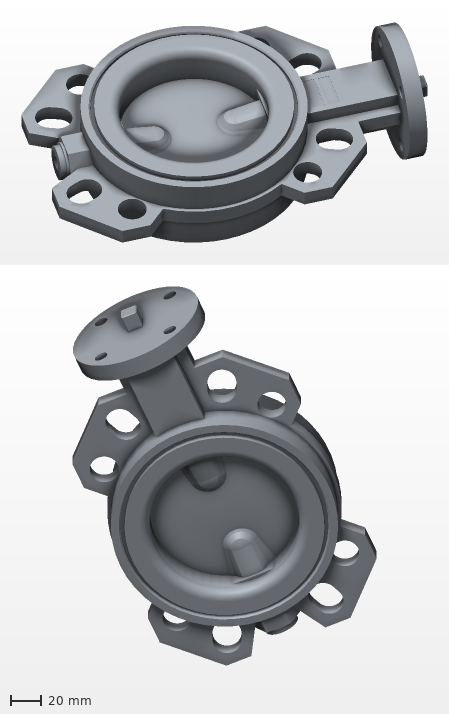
import cadquery as cq
import math


body_radius = 75.0
body_half_height = 26.0
rib_radius = 77.5
liner_radius = 66.0
liner_half_height = 26.9
groove_radius = 68.6
groove_depth = 3.2
groove_chamfer = 1.0
bore_radius = 49.42
bore_rounding = 6.4

disc_centre_half = 4.2
disc_edge_half = 2.0

pad_face_y = 47.2
pad_half_height = 15.0
pad_width = 37.0
pad_end_y = 53.0
lug_tip_y = 27.8
lug_root_y = pad_face_y + 0.8
lug_tip_section = (13.8, 10.0, 7.0, 8.5, 10.0)
lug_root_section = (17.2, 12.7, 7.5, 11.7, 13.2)
lug_side_base_height = 4.8

plate_thickness = 10.9
ear_side_x = 78.05
ear_end_y = 105.7
ear_side_top_y = 72.3
ear_side_bottom_y = 53.0
notch_half_width = 26.63
notch_angle = 60.0

bolt_hole_diameter = 19.0
bolt_circle_radius = 85.3
round_hole_angle = 45.0
slot_angle = 67.5
slot_inner_radius = 90.4
slot_outer_radius = 96.0

neck_width = 34.5
neck_height = 30.0
web_width = 49.0
flange_diameter = 90.0
flange_face_y = 147.3
flange_thickness = 12.2
flange_hole_diameter = 9.0
flange_bolt_circle = 70.0

stem_end_y = 265.0 - ear_end_y
stem_square = 11.0
stem_corner_chamfer = 1.0
stem_end_chamfer = 0.5

label_width = 25.0
label_height = 8.0
label_depth = 0.3
label_centres_y = (92.5, 82.2)

hex_across_flats = 30.0
hex_end_y = 89.3
collar_radius = 13.2
collar_end_y = 91.0
plug_radius = 11.7
plug_end_y = 95.0
plug_socket_radius = 4.65
plug_socket_depth = 4.0


def mirrored_z(solid):
    return solid.union(solid.mirror("XY"))


def y_block(width, start_y, end_y, height):
    """Box centred on the shaft axis, running from start_y to end_y."""
    return cq.Workplane("XY").box(width, end_y - start_y, height).translate((0, (start_y + end_y) / 2, 0))


def y_cylinder(radius, start_y, end_y):
    """Cylinder on the shaft axis from start_y to end_y."""
    return cq.Workplane("XZ", origin=(0, start_y, 0)).circle(radius).extrude(start_y - end_y)


def make_body():
    """Body, liner and closed disc turned as one half and mirrored."""
    rounding_mid = bore_rounding * (1 - math.sqrt(0.5))
    half = (
        cq.Workplane("XZ")
        .lineTo(0, disc_centre_half)
        .lineTo(bore_radius, disc_edge_half)
        .lineTo(bore_radius, liner_half_height - bore_rounding)
        .threePointArc(
            (bore_radius + rounding_mid, liner_half_height - rounding_mid),
            (bore_radius + bore_rounding, liner_half_height),
        )
        .lineTo(liner_radius, liner_half_height)
        .lineTo(liner_radius, body_half_height - groove_depth)
        .lineTo(groove_radius, body_half_height - groove_depth)
        .lineTo(groove_radius, body_half_height - groove_chamfer)
        .lineTo(groove_radius + groove_chamfer, body_half_height)
        .lineTo(body_radius, body_half_height)
        .lineTo(body_radius, plate_thickness / 2)
        .lineTo(rib_radius, plate_thickness / 2)
        .lineTo(rib_radius, 0)
        .close()
        .revolve(360, (0, 0, 0), (0, 1, 0))
    )
    return mirrored_z(half)


def lug_section(y, section):
    """Full cross-section of a lug: splayed foot, sloping sides and rounded crown."""
    foot, side, crown, shoulder_height, crown_height = section
    return (
        cq.Workplane("XZ", origin=(0, y, 0))
        .moveTo(-foot, 0)
        .lineTo(-foot, disc_edge_half)
        .lineTo(-side, lug_side_base_height)
        .lineTo(-crown, shoulder_height)
        .threePointArc((0, crown_height), (crown, shoulder_height))
        .lineTo(side, lug_side_base_height)
        .lineTo(foot, disc_edge_half)
        .lineTo(foot, 0)
        .close()
    )


def lug_tip_profile(section):
    """Half of the tip section, to be turned about the vertical through the lug tip."""
    foot, side, crown, shoulder_height, crown_height = section
    crown_rise = crown_height - shoulder_height
    dome_radius = (crown**2 + crown_rise**2) / (2 * crown_rise)
    half_dome_angle = math.asin(crown / dome_radius) / 2
    dome_mid = (
        dome_radius * math.sin(half_dome_angle),
        crown_height - dome_radius * (1 - math.cos(half_dome_angle)),
    )
    return (
        cq.Workplane("XZ", origin=(0, lug_tip_y, 0))
        .lineTo(foot, 0)
        .lineTo(foot, disc_edge_half)
        .lineTo(side, lug_side_base_height)
        .lineTo(crown, shoulder_height)
        .threePointArc(dome_mid, (0, crown_height))
        .close()
    )


def make_lug():
    """Upper +Y lug: tapered ridge with a rounded tip, its underside buried in the disc."""
    tip_wire = lug_section(lug_tip_y, lug_tip_section).wires().val()
    root_wire = lug_section(lug_root_y, lug_root_section).wires().val()
    ridge = cq.Workplane(cq.Solid.makeLoft([tip_wire, root_wire], True))
    tip = lug_tip_profile(lug_tip_section).revolve(360, (0, 0, 0), (0, 1, 0))
    return ridge.union(tip, clean=False)


def make_ear_plate():
    """Four 45-degree ears, with a V notch between the lower two."""
    ear_corner_x = ear_side_x + ear_side_top_y - ear_end_y
    waist_x = ear_side_x - ear_side_bottom_y
    upper_right = [
        (ear_corner_x, ear_end_y),
        (ear_side_x, ear_side_top_y),
        (ear_side_x, ear_side_bottom_y),
        (waist_x, 0),
    ]
    lower_right = [(x, -y) for x, y in reversed(upper_right[:-1])]
    right = upper_right + lower_right
    left = [(-x, y) for x, y in reversed(right)]
    plate = cq.Workplane("XY").polyline(right + left).close().extrude(plate_thickness / 2, both=True)

    notch_depth = notch_half_width * math.tan(math.radians(notch_angle))
    notch = (
        cq.Workplane("XY")
        .polyline([
            (-notch_half_width, -ear_end_y),
            (notch_half_width, -ear_end_y),
            (0, notch_depth - ear_end_y),
        ])
        .close()
        .extrude(plate_thickness, both=True)
    )
    body_space = cq.Workplane("XY").circle(liner_radius).extrude(plate_thickness, both=True)
    return plate.cut(notch).cut(body_space)


def make_bolt_holes():
    """A round hole and a radial slot in each ear."""
    slot_mid_radius = (slot_inner_radius + slot_outer_radius) / 2
    slot_length = slot_outer_radius - slot_inner_radius + bolt_hole_diameter
    hole = (
        cq.Workplane("XY")
        .transformed(rotate=(0, 0, round_hole_angle))
        .center(bolt_circle_radius, 0)
        .circle(bolt_hole_diameter / 2)
        .extrude(plate_thickness, both=True)
    )
    slot = (
        cq.Workplane("XY")
        .transformed(rotate=(0, 0, slot_angle))
        .center(slot_mid_radius, 0)
        .slot2D(slot_length, bolt_hole_diameter)
        .extrude(plate_thickness, both=True)
    )
    quarter = hole.union(slot)
    right = quarter.union(quarter.mirror("XZ"))
    return right.union(right.mirror("YZ"))


def make_neck():
    """Ribbed neck, actuator flange and square stem end."""
    flange_back_y = flange_face_y - flange_thickness
    start_y = (liner_radius + body_radius) / 2
    neck = y_block(neck_width, start_y, flange_back_y, neck_height)
    for label_y in label_centres_y:
        label = cq.Workplane("XY").box(label_width, label_height, 2 * label_depth)
        neck = neck.cut(label.translate((0, label_y, neck_height / 2)))
    web = y_block(web_width, start_y, flange_back_y, plate_thickness)
    flange = y_cylinder(flange_diameter / 2, flange_back_y, flange_face_y)
    flange_holes = (
        cq.Workplane("XZ", origin=(0, flange_back_y, 0))
        .polarArray(flange_bolt_circle / 2, 45, 360, 4)
        .circle(flange_hole_diameter / 2)
        .extrude(-flange_thickness)
    )
    stem = (
        y_block(stem_square, flange_back_y, stem_end_y, stem_square)
        .edges("|Y")
        .chamfer(stem_corner_chamfer)
        .faces(">Y")
        .chamfer(stem_end_chamfer)
    )
    return neck.union(web).union(flange.cut(flange_holes)).union(stem)


def make_bottom_boss():
    """Hexagon boss closed by a collared plug with a blind socket."""
    start_y = (liner_radius + body_radius) / 2
    across_corners = hex_across_flats / math.cos(math.radians(30))
    boss = cq.Workplane("XZ", origin=(0, -start_y, 0)).polygon(6, across_corners).extrude(hex_end_y - start_y)
    collar = y_cylinder(collar_radius, -collar_end_y, -start_y)
    plug = y_cylinder(plug_radius, -plug_end_y, -start_y)
    socket = y_cylinder(plug_socket_radius, -plug_end_y, plug_socket_depth - plug_end_y)
    return boss.union(collar).union(plug).cut(socket)


lug = make_lug()
pad = y_block(pad_width, pad_face_y, pad_end_y, 2 * pad_half_height)
result = (
    make_ear_plate()
    .union(make_neck())
    .union(make_bottom_boss())
    .union(make_body())
    .cut(make_bolt_holes())
    .union(pad)
    .union(pad.mirror("XZ"))
)
for disc_lug in (lug, lug.mirror("XZ")):
    result = result.union(disc_lug, clean=False).union(disc_lug.mirror("XY"), clean=False)